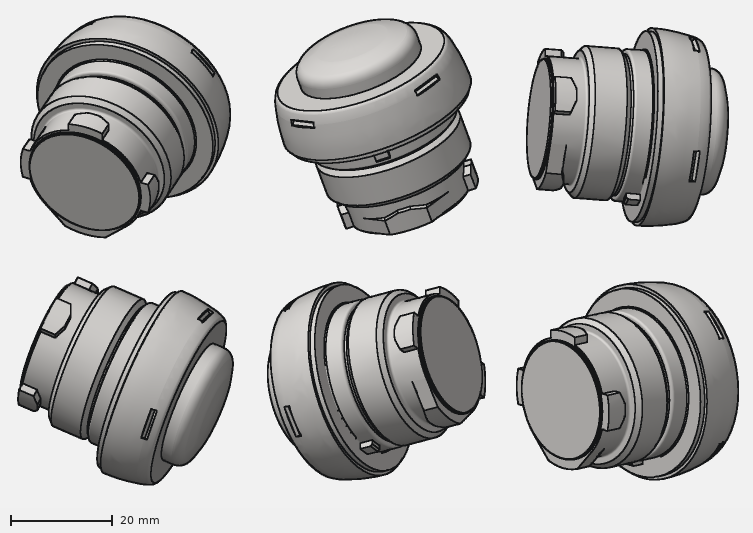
import cadquery as cq
import math


button_radius = 12.5
button_side_top = 13.2
button_corner_radius = 2.4
button_shoulder_angle = 23.4
crown_radius = 7.4
crown_edge_height = 16.4
button_height = 16.95

ring_radius = 19.5
lip_radius = 18.8
lip_height = 1.1
ring_bulge_radius = 19.2
ring_bulge_height = 5.25
ring_seam_radius = 18.6
ring_seam_height = 8.6
ring_crest_radius = 17.95
ring_crest_height = 10.45
ring_top_radius = 17.3
ring_height = 11.0

barrel_radius = 15.0
seat_fillet = 0.25
collar_end = -3.9
collar_fillet = 0.5
groove_radius = 14.0
groove_end = -4.4
barrel_chamfer = barrel_radius - groove_radius
barrel_end = -12.8

neck_radius = 12.4
neck_fillet = 0.45
neck_end = -19.5
end_shoulder_radius = 11.95
end_shoulder_end = -19.7
end_disc_radius = 11.75
part_end = -20.05

lug_outer_radius = 13.9
lug_width = 7.25
lug_tip_width = 2.6
lug_length = 4.2
lug_top = neck_end + lug_length
lug_lead = 1.0
lug_angles = (0, 90, 270)
wedge_lug_lead_width = 8.7

key_width = 2.8
key_length = 2.75
key_outer_radius = 16.2
key_chamfer = 0.4

slot_width = 1.2
slot_span = 6.5
slot_depth = 1.0
slot_wall_depth = 0.4
slot_height = 8.55
slot_angles = (45, 135, 225, 315)


def arc_middle(center, radius, start_angle, end_angle):
    """Point halfway along a circular arc, angles in degrees."""
    angle = math.radians((start_angle + end_angle) / 2)
    return (center[0] + radius * math.cos(angle), center[1] + radius * math.sin(angle))


def revolve_about_y(profile):
    return profile.close().revolve(360, (0, 0, 0), (0, 1, 0))


def make_button():
    """Solid button with a rounded corner, a soft shoulder and a shallow crown."""
    corner_center = (button_radius - button_corner_radius, button_side_top)
    corner_end_angle = 90 - button_shoulder_angle
    shoulder = (
        corner_center[0] + button_corner_radius * math.cos(math.radians(corner_end_angle)),
        corner_center[1] + button_corner_radius * math.sin(math.radians(corner_end_angle)),
    )
    corner_middle = arc_middle(corner_center, button_corner_radius, 0, corner_end_angle)
    crown_rise = button_height - crown_edge_height
    crown_sphere_radius = (crown_radius**2 + crown_rise**2) / (2 * crown_rise)
    half_crown = crown_radius / 2
    half_crown_drop = crown_sphere_radius - math.sqrt(crown_sphere_radius**2 - half_crown**2)
    profile = (
        cq.Workplane("XY")
        .lineTo(button_radius, 0)
        .lineTo(button_radius, button_side_top)
        .threePointArc(corner_middle, shoulder)
        .tangentArcPoint((crown_radius, crown_edge_height), relative=False)
        .threePointArc((half_crown, button_height - half_crown_drop), (0, button_height))
    )
    return revolve_about_y(profile)


def make_ring():
    """Bulged bezel ring standing on a narrower lip."""
    profile = (
        cq.Workplane("XY")
        .lineTo(lip_radius, 0)
        .lineTo(lip_radius, lip_height)
        .lineTo(ring_radius, lip_height)
        .threePointArc((ring_bulge_radius, ring_bulge_height), (ring_seam_radius, ring_seam_height))
        .tangentArcPoint((ring_crest_radius, ring_crest_height), relative=False)
        .tangentArcPoint((ring_top_radius, ring_height), relative=False)
        .lineTo(0, ring_height)
    )
    return revolve_about_y(profile)


def make_barrel():
    """Grooved barrel, neck and end disc below the seat."""
    arc_share = 1 - math.sqrt(0.5)
    seat_middle = (barrel_radius + seat_fillet * arc_share, -seat_fillet * arc_share)
    collar_middle = (barrel_radius - collar_fillet * arc_share, collar_end + collar_fillet * arc_share)
    neck_middle = (neck_radius + neck_fillet * arc_share, barrel_end - neck_fillet * arc_share)
    profile = (
        cq.Workplane("XY")
        .lineTo(barrel_radius + seat_fillet, 0)
        .threePointArc(seat_middle, (barrel_radius, -seat_fillet))
        .lineTo(barrel_radius, collar_end + collar_fillet)
        .threePointArc(collar_middle, (barrel_radius - collar_fillet, collar_end))
        .lineTo(groove_radius, collar_end)
        .lineTo(groove_radius, groove_end)
        .lineTo(barrel_radius, groove_end - barrel_chamfer)
        .lineTo(barrel_radius, barrel_end + barrel_chamfer)
        .lineTo(groove_radius, barrel_end)
        .lineTo(neck_radius + neck_fillet, barrel_end)
        .threePointArc(neck_middle, (neck_radius, barrel_end - neck_fillet))
        .lineTo(neck_radius, neck_end)
        .lineTo(end_shoulder_radius, neck_end)
        .lineTo(end_shoulder_radius, end_shoulder_end)
        .lineTo(end_disc_radius, end_shoulder_end)
        .lineTo(end_disc_radius, part_end)
        .lineTo(0, part_end)
    )
    return revolve_about_y(profile)


def lug_envelope():
    """Cylinder that bounds the outer faces of the lugs."""
    workplane = cq.Workplane("XZ", origin=(0, lug_top, 0))
    return workplane.circle(lug_outer_radius).extrude(lug_length)


def lug_blank(body_width, lead_width):
    """Block on the +Z side: a straight body with a pointed lead towards +Y."""
    lead_base = lug_top - lug_lead
    body = (
        cq.Workplane("XY")
        .center(0, (neck_end + lead_base) / 2)
        .rect(body_width, lead_base - neck_end)
        .extrude(lug_outer_radius)
    )
    lead_corners = [
        (-lead_width / 2, lead_base),
        (lead_width / 2, lead_base),
        (lug_tip_width / 2, lug_top),
        (-lug_tip_width / 2, lug_top),
    ]
    lead = cq.Workplane("XY").polyline(lead_corners).close().extrude(lug_outer_radius)
    return body.union(lead)


def make_lug(angle):
    """Straight-sided lug, turned by an angle about Y from the +Z side."""
    lug = lug_blank(lug_width, lug_width).intersect(lug_envelope())
    return lug.rotate((0, 0, 0), (0, 1, 0), angle)


def make_wedge_lug():
    """Wide lug on the -Z side whose 45 degree flanks run tangent to the neck."""
    apex = neck_radius * math.sqrt(2)
    wedge = (
        cq.Workplane("XZ", origin=(0, lug_top, 0))
        .polyline([(0, 0), (apex / 2, -apex / 2), (0, -apex), (-apex / 2, -apex / 2)])
        .close()
        .extrude(lug_length)
    )
    blank = lug_blank(2 * lug_outer_radius, wedge_lug_lead_width).rotate((0, 0, 0), (0, 1, 0), 180)
    return blank.intersect(wedge).intersect(lug_envelope())


def make_key():
    """Locating key on the -Z side, chamfered at its free corner."""
    profile = [
        (0, 0),
        (-key_length, 0),
        (-key_length, -key_outer_radius + key_chamfer),
        (-key_length + key_chamfer, -key_outer_radius),
        (0, -key_outer_radius),
    ]
    return cq.Workplane("YZ").polyline(profile).close().extrude(key_width / 2, both=True)


def make_slot(angle):
    """Cutter for one shallow slot with a V-shaped floor, turned by an angle about Y from the +Z side."""
    half_width = slot_width / 2
    profile = [
        (slot_height - half_width, ring_radius),
        (slot_height - half_width, ring_seam_radius - slot_wall_depth),
        (slot_height, ring_seam_radius - slot_depth),
        (slot_height + half_width, ring_seam_radius - slot_wall_depth),
        (slot_height + half_width, ring_radius),
    ]
    cutter = cq.Workplane("YZ").polyline(profile).close().extrude(slot_span / 2, both=True)
    return cutter.rotate((0, 0, 0), (0, 1, 0), angle)


result = make_button().union(make_ring()).union(make_barrel())
for lug_angle in lug_angles:
    result = result.union(make_lug(lug_angle))
result = result.union(make_wedge_lug()).union(make_key())
for slot_angle in slot_angles:
    result = result.cut(make_slot(slot_angle))